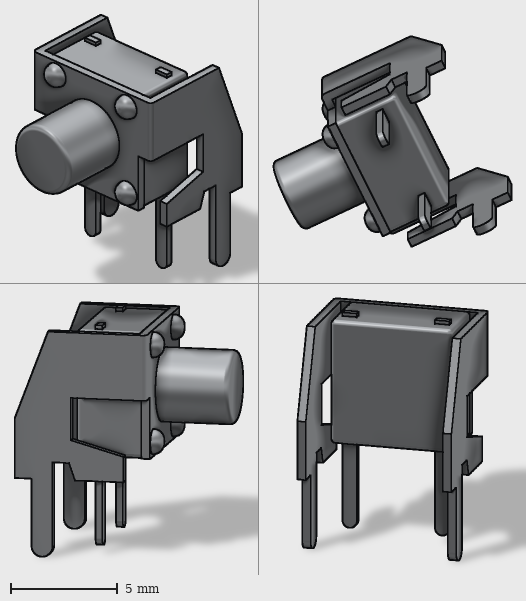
import cadquery as cq


bracket_width = 7.5
sheet = 0.41
bend_radius = 0.22
bracket_top = 10.73
bracket_back = 6.3
plate_width = 5.9
plate_bottom = 4.7
wall_front_bottom = 7.62
wall_bottom = 3.7
slope_top_y = 4.71
slope_bottom_z = 6.54
arm_front_y = 1.1
arm_front_z = 4.92
slot_back_y = 3.61
slot_corner_z = 5.6
notch_top_z = 4.51
notch_slope_top_y = 3.7
notch_slope_bottom_y = 3.41
leg_width = 1.0
leg_front_y = 4.49

housing_back = 3.51
housing_fillet = 0.21
rivet_diameter = 1.2
rivet_height = 0.51
rivet_round = 0.5
rivet_spacing_x = 4.5
rivet_spacing_z = 4.61
center_z = (bracket_top + plate_bottom) / 2

button_diameter = 3.5
button_front = -3.5
button_round = 0.25

pin_width = 0.7
pin_thickness = 0.33
pin_center_y = 2.52
pin_top = 10.9
pin_tip = 0.4

rivet_places = [
    (side_x * rivet_spacing_x / 2, center_z + side_z * rivet_spacing_z / 2)
    for side_x in (-1, 1)
    for side_z in (-1, 1)
]


def y_cylinder(x, z, diameter, y_front, y_back):
    """Cylinder along Y from y_front to y_back."""
    length = y_back - y_front
    return cq.Workplane("XZ", origin=(x, y_back, z)).circle(diameter / 2).extrude(length)


def block(width, y_front, y_back, z_bottom, z_top):
    """Box centred on X = 0."""
    size_y = y_back - y_front
    size_z = z_top - z_bottom
    base = cq.Workplane("XY", origin=(0, y_front, z_bottom))
    return base.box(width, size_y, size_z, centered=(True, False, False))


def make_side_profile():
    """Side wall with its hooked arm and round-ended leg, through the whole bracket width."""
    leg_radius = leg_width / 2
    leg_back_y = leg_front_y + leg_width
    return (
        cq.Workplane("YZ", origin=(-bracket_width / 2, 0, 0))
        .moveTo(0, bracket_top)
        .lineTo(slope_top_y, bracket_top)
        .lineTo(bracket_back, slope_bottom_z)
        .lineTo(bracket_back, wall_bottom)
        .lineTo(leg_back_y, wall_bottom)
        .lineTo(leg_back_y, leg_radius)
        .threePointArc((leg_front_y + leg_radius, 0), (leg_front_y, leg_radius))
        .lineTo(leg_front_y, notch_top_z)
        .lineTo(notch_slope_top_y, notch_top_z)
        .lineTo(notch_slope_bottom_y, wall_bottom)
        .lineTo(arm_front_y, wall_bottom)
        .lineTo(arm_front_y, arm_front_z)
        .lineTo(slot_back_y, slot_corner_z)
        .lineTo(slot_back_y, wall_front_bottom)
        .lineTo(0, wall_front_bottom)
        .close()
        .extrude(bracket_width)
    )


def make_bracket():
    """Bent sheet: two side walls joined by a front plate with holes for the button and rivets."""
    inside = block(bracket_width - 2 * sheet, sheet, bracket_back, 0, bracket_top)
    walls = make_side_profile().edges("|Z and <Y").fillet(bend_radius).cut(inside)
    bracket = walls.union(block(plate_width, 0, sheet, plate_bottom, bracket_top))
    bracket = bracket.cut(y_cylinder(0, center_z, button_diameter, 0, sheet))
    for x, z in rivet_places:
        bracket = bracket.cut(y_cylinder(x, z, rivet_diameter, 0, sheet))
    return bracket


def make_rivet(x, z):
    """Domed post that passes through the bracket."""
    post = y_cylinder(x, z, rivet_diameter, -rivet_height, sheet)
    return post.faces("<Y").edges().fillet(rivet_round)


def make_pin(x):
    """Flat terminal with a round lower end."""
    radius = pin_width / 2
    return (
        cq.Workplane("XZ", origin=(x, pin_center_y, 0))
        .moveTo(-radius, pin_top)
        .lineTo(-radius, pin_tip + radius)
        .threePointArc((0, pin_tip), (radius, pin_tip + radius))
        .lineTo(radius, pin_top)
        .close()
        .extrude(pin_thickness / 2, both=True)
    )


def make_housing(pins):
    """Rounded block behind the front plate, with integral rivets and slots for the pins."""
    housing = block(plate_width, sheet, housing_back, plate_bottom, bracket_top)
    housing = housing.edges("|Y or >Y").fillet(housing_fillet)
    for x, z in rivet_places:
        housing = housing.union(make_rivet(x, z))
    for pin in pins:
        housing = housing.cut(pin)
    return housing


def make_button():
    """Round plunger that passes through the front plate to the housing."""
    button = y_cylinder(0, center_z, button_diameter, button_front, sheet)
    return button.faces("<Y").edges().fillet(button_round)


pins = [make_pin(side * rivet_spacing_x / 2) for side in (-1, 1)]
bracket = make_bracket()
housing = make_housing(pins)
button = make_button()

result = cq.Compound.makeCompound([bracket.val(), housing.val(), button.val(), *[pin.val() for pin in pins]])